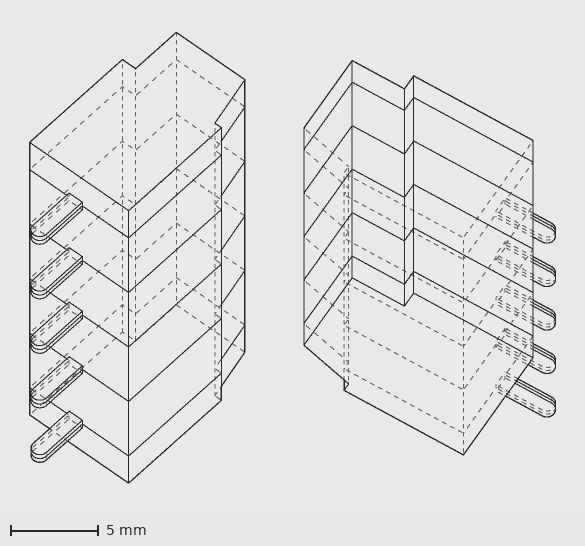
import cadquery as cq

PIN_COUNT = 5
PITCH = 5.0
END_MODULE_HEIGHT = PITCH / 2

BASE_WIDTH = 7.5
BASE_DEPTH = 8.0
NOSE_DEPTH = 3.5
NOSE_LEFT = 1.0
NOSE_RIGHT_ROOT = 7.0
NOSE_RIGHT_TIP = 6.2

PIN_CENTER_X = 3.5
PIN_WIDTH = 1.0
PIN_LENGTH = 3.6
PIN_THICKNESS = 0.7
HALF_PIN_THICKNESS = PIN_THICKNESS / 2


def make_block(height):
    """Module block: a base with a narrower nose, sloped on its right side."""
    total_depth = BASE_DEPTH + NOSE_DEPTH
    return (
        cq.Workplane("XY")
        .moveTo(0, 0)
        .lineTo(BASE_WIDTH, 0)
        .lineTo(BASE_WIDTH, BASE_DEPTH)
        .lineTo(NOSE_RIGHT_ROOT, BASE_DEPTH)
        .lineTo(NOSE_RIGHT_TIP, total_depth)
        .lineTo(NOSE_LEFT, total_depth)
        .lineTo(NOSE_LEFT, BASE_DEPTH)
        .lineTo(0, BASE_DEPTH)
        .close()
        .extrude(height)
    )


def make_half_pin(bottom):
    """Half-thickness pin rooted on the base's front face, with its underside at the given height."""
    radius = PIN_WIDTH / 2
    left = PIN_CENTER_X - radius
    right = PIN_CENTER_X + radius
    round_start = radius - PIN_LENGTH
    return (
        cq.Workplane("XY")
        .workplane(offset=bottom)
        .moveTo(left, 0)
        .lineTo(left, round_start)
        .threePointArc((PIN_CENTER_X, -PIN_LENGTH), (right, round_start))
        .lineTo(right, 0)
        .close()
        .extrude(HALF_PIN_THICKNESS)
    )


def make_module(height, pin_below, pin_above):
    """One module standing on Z = 0, with a half pin along each face shared with a neighbour."""
    module = make_block(height)
    if pin_below:
        module = module.union(make_half_pin(0))
    if pin_above:
        module = module.union(make_half_pin(height - HALF_PIN_THICKNESS))
    return module


bottom_module = make_module(END_MODULE_HEIGHT, pin_below=False, pin_above=True)

middle_modules = []
for index in range(PIN_COUNT - 1):
    module_bottom = END_MODULE_HEIGHT + index * PITCH
    module = make_module(PITCH, pin_below=True, pin_above=True)
    middle_modules.append(module.translate((0, 0, module_bottom)).val())

top_module_bottom = END_MODULE_HEIGHT + (PIN_COUNT - 1) * PITCH
top_module = make_module(END_MODULE_HEIGHT, pin_below=True, pin_above=False)
top_module = top_module.translate((0, 0, top_module_bottom))

result = cq.Compound.makeCompound([bottom_module.val(), *middle_modules, top_module.val()])